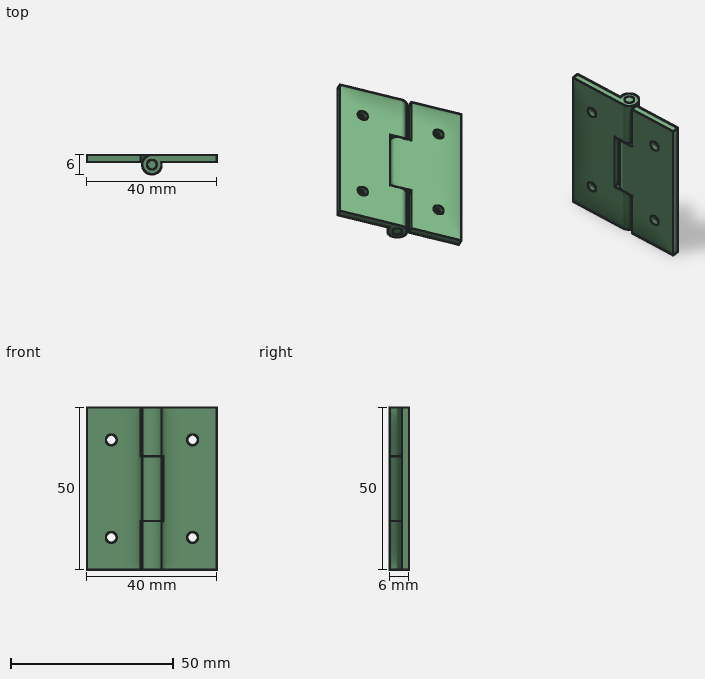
import cadquery as cq

hinge_width = 40.0
hinge_height = 50.0
leaf_thickness = 2.25
barrel_radius = 3.0
pin_radius = 1.5
middle_knuckle_height = 19.9
knuckle_gap = 0.05
relief_distance = 3.5
screw_hole_diameter = 3.25
screw_hole_x = 12.5
screw_hole_z = 15.0

half_width = hinge_width / 2
half_height = hinge_height / 2
half_middle_knuckle = middle_knuckle_height / 2
half_middle_slot = half_middle_knuckle + knuckle_gap
leaf_front_y = barrel_radius - leaf_thickness


def leaf_blank(side):
    """Full-height plate tangent to the barrel, with the barrel and pin bore; side is -1 or +1 in X."""
    plate = (
        cq.Workplane("XY", origin=(side * half_width / 2, leaf_front_y + leaf_thickness / 2, 0))
        .box(half_width, leaf_thickness, hinge_height)
    )
    barrel = cq.Workplane("XY").circle(barrel_radius).extrude(half_height, both=True)
    bore = cq.Workplane("XY").circle(pin_radius).extrude(half_height, both=True)
    return plate.union(barrel).cut(bore)


def knuckle_relief(bottom, top):
    """Block that clears the barrel zone between two heights."""
    height = top - bottom
    return (
        cq.Workplane("XY", origin=(0, 0, bottom))
        .box(2 * relief_distance, 2 * barrel_radius, height, centered=(True, True, False))
    )


def drill_screw_holes(leaf, side):
    """Two through holes along Y, above and below mid-height."""
    places = [(side * screw_hole_x, z) for z in (-screw_hole_z, screw_hole_z)]
    holes = (
        cq.Workplane("XZ")
        .pushPoints(places)
        .circle(screw_hole_diameter / 2)
        .extrude(-barrel_radius)
    )
    return leaf.cut(holes)


def make_middle_knuckle_leaf():
    """Left leaf, carrying only the middle knuckle."""
    side = -1
    leaf = leaf_blank(side)
    leaf = leaf.cut(knuckle_relief(-half_height, -half_middle_knuckle))
    leaf = leaf.cut(knuckle_relief(half_middle_knuckle, half_height))
    return drill_screw_holes(leaf, side)


def make_end_knuckle_leaf():
    """Right leaf, carrying the top and bottom knuckles."""
    side = 1
    leaf = leaf_blank(side)
    leaf = leaf.cut(knuckle_relief(-half_middle_slot, half_middle_slot))
    return drill_screw_holes(leaf, side)


def make_pin():
    """Hinge pin, flush with both ends of the barrel."""
    return cq.Workplane("XY").circle(pin_radius).extrude(half_height, both=True)


middle_knuckle_leaf = make_middle_knuckle_leaf()
end_knuckle_leaf = make_end_knuckle_leaf()
pin = make_pin()

result = cq.Compound.makeCompound([middle_knuckle_leaf.val(), end_knuckle_leaf.val(), pin.val()])